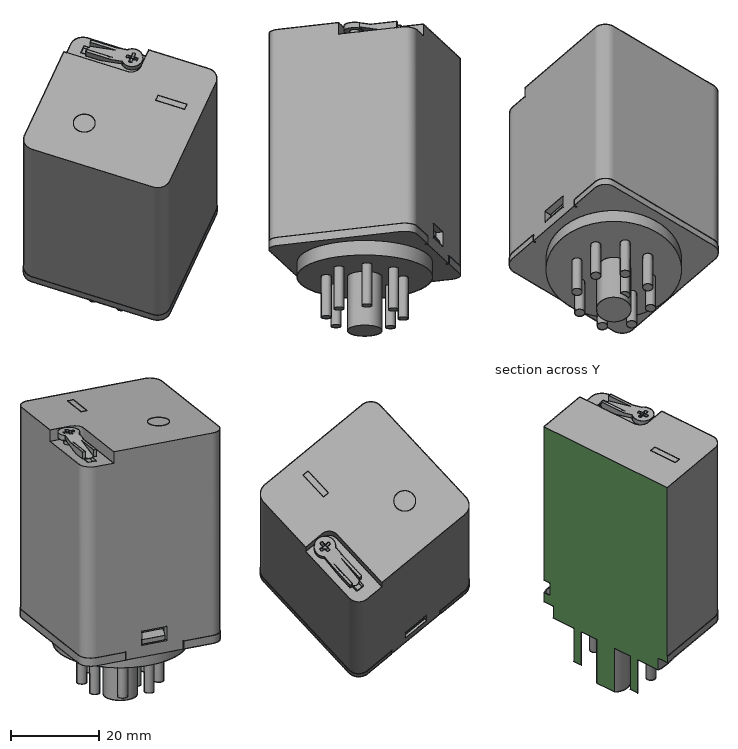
import cadquery as cq
import math


base_side = 35.5
base_height = 2.0
corner_radius = 3.1
seam_step = 0.1
overall_height = 68.3
case_top = 51.9
case_side = base_side - 2 * seam_step

tab_width = 14.8
tab_gap = 0.2
tab_thickness = 0.7

plate_diameter = 30.8
plate_height = 3.5

pin_diameter = 2.3
pin_length = 9.85
pin_count = 8
pin_circle_radius = 8.75
post_diameter = 7.85
post_length = overall_height - case_top - plate_height
key_length = 11.35
key_offset = 3.95

window_width = 6.35
window_height = 3.5
window_bottom = 2.9
window_depth = 1.7
barb_side_gap = 0.2
barb_face_height = 1.1
barb_face_depth = 0.7
barb_slope_height = 1.3

notch_right = 0.15
notch_front = 10.3
notch_depth = 2.8
notch_radius = 2.3

screw_x = -2.6
screw_y = 14.3
screw_diameter = 5.0
screw_head_height = 1.3
shank_diameter = 2.3
cross_slot_width = 0.7
cross_top_diameter = 2.7
cross_bottom_diameter = 1.0
cross_depth = 1.0

lever_right = -4.3
lever_width = 3.5
lever_length = 9.4
lever_drop = 2.4
arm_thickness = 1.0
rail_width = 0.7
rail_end_inset = 0.5
rail_top_depth = 0.7

dimple_left = -14.7
dimple_length = 2.7
dimple_depth = 0.4
dimple_floor_width = 1.4

mark_depth = 0.1
button_x = -6.2
button_y = -6.6
button_diameter = 5.0
label_x = 10.2
label_y = 5.9
label_length = 7.05
label_width = 1.5

outer = base_side / 2
notch_floor = case_top - notch_depth
plate_bottom = -plate_height
arm_width = lever_width - 2 * rail_width


def box(x_range, y_range, z_range):
    """Box between pairs of X, Y and Z limits."""
    sizes = [high - low for low, high in (x_range, y_range, z_range)]
    corner = (x_range[0], y_range[0], z_range[0])
    return cq.Workplane("XY").box(*sizes, centered=False).translate(corner)


def cylinder(x, y, bottom, height, diameter):
    """Upright cylinder standing on the level `bottom`."""
    return cq.Workplane("XY", origin=(x, y, bottom)).circle(diameter / 2).extrude(height)


def rounded_block(side, bottom, top, radius):
    """Square block centred on Z with rounded upright edges."""
    block = cq.Workplane("XY", origin=(0, 0, bottom)).rect(side, side).extrude(top - bottom)
    return block.edges("|Z").fillet(radius)


def xz_prism(points, y_centre, width):
    """Prism of an X-Z outline, centred on `y_centre` along Y."""
    plane = cq.Workplane("XZ", origin=(0, y_centre, 0))
    return plane.polyline(points).close().extrude(width / 2, both=True)


def make_body():
    """Base and case, with the case tab let into the -X side of the base."""
    base = rounded_block(base_side, 0, base_height, corner_radius)
    room_half = tab_width / 2
    tab_half = room_half - tab_gap
    tab_back = tab_thickness - outer
    base = base.cut(box((-outer, tab_back), (-room_half, room_half), (0, base_height)))
    case = rounded_block(case_side, base_height, case_top, corner_radius - seam_step)
    tab = box((-case_side / 2, tab_back), (-tab_half, tab_half), (0, base_height))
    return base.union(case).union(tab)


def make_socket_plug():
    """Round plate with the ring of pins, the centre post and its key."""
    plug = cylinder(0, 0, plate_bottom, plate_height, plate_diameter)
    for index in range(pin_count):
        angle = 2 * math.pi * (index + 0.5) / pin_count
        x = pin_circle_radius * math.cos(angle)
        y = pin_circle_radius * math.sin(angle)
        plug = plug.union(cylinder(x, y, plate_bottom - pin_length, pin_length, pin_diameter))
    plug = plug.union(cylinder(0, 0, plate_bottom - post_length, post_length, post_diameter))
    return plug.union(cylinder(0, -key_offset, plate_bottom - key_length, key_length, pin_diameter))


def make_window():
    """Latch window with a barb left standing: upright face below, slope above."""
    half = window_width / 2
    back = window_depth - outer
    window_top = window_bottom + window_height
    window = box((-outer, back), (-half, half), (window_bottom, window_top))
    face = barb_face_depth - outer
    shoulder = window_bottom + barb_face_height
    barb_outline = [
        (back, window_bottom),
        (face, window_bottom),
        (face, shoulder),
        (back, shoulder + barb_slope_height),
    ]
    return window.cut(xz_prism(barb_outline, 0, window_width - 2 * barb_side_gap))


def make_notch():
    """Open corner notch with one rounded inner corner, and the dimple in its floor."""
    notch = box((-outer, notch_right), (notch_front, outer), (notch_floor, case_top))
    notch = notch.edges("|Z and >X and <Y").fillet(notch_radius)
    dimple_outline = [
        (screw_y - arm_width / 2, notch_floor),
        (screw_y + arm_width / 2, notch_floor),
        (screw_y + dimple_floor_width / 2, notch_floor - dimple_depth),
        (screw_y - dimple_floor_width / 2, notch_floor - dimple_depth),
    ]
    side_plane = cq.Workplane("YZ", origin=(dimple_left, 0, 0))
    dimple = side_plane.polyline(dimple_outline).close().extrude(dimple_length)
    return notch.union(dimple)


def make_screw():
    """Screw on the notch floor: shank, head trimmed flat by the lever, tapered cross recess."""
    head_bottom = case_top - screw_head_height
    shank = cylinder(screw_x, screw_y, notch_floor, notch_depth, shank_diameter)
    head = cylinder(screw_x, screw_y, head_bottom, screw_head_height, screw_diameter)
    head = head.intersect(box((lever_right, outer), (0, outer), (head_bottom, case_top)))
    cone = (
        cq.Workplane("XY", origin=(screw_x, screw_y, case_top))
        .circle(cross_top_diameter / 2)
        .workplane(offset=-cross_depth)
        .circle(cross_bottom_diameter / 2)
        .loft()
    )
    slots = (
        cq.Workplane("XY", origin=(screw_x, screw_y, case_top - cross_depth))
        .rect(cross_top_diameter, cross_slot_width)
        .extrude(cross_depth)
    )
    slots = slots.union(slots.rotate((screw_x, screw_y, 0), (screw_x, screw_y, 1), 90))
    return shank.union(head).cut(cone.intersect(slots))


def make_lever():
    """Lever that slopes down from the screw head to a rounded tip between two level side rails."""
    tip = lever_right - lever_length
    bottom = case_top - lever_drop
    slope = lever_drop / lever_length
    bend = tip + arm_thickness / slope
    arm_outline = [
        (lever_right, case_top),
        (tip, bottom),
        (bend, bottom),
        (lever_right, case_top - arm_thickness),
    ]
    rail_left = tip + rail_end_inset
    rail_top = case_top - rail_top_depth
    rail_right = lever_right - rail_top_depth / slope
    rail_outline = [
        (rail_left, bottom),
        (bend, bottom),
        (rail_right, rail_top - arm_thickness),
        (rail_right, rail_top),
        (rail_left, rail_top),
    ]
    tip_radius = arm_width / 2
    tip_centre = tip + tip_radius
    plan = cylinder(tip_centre, screw_y, bottom, lever_drop, arm_width)
    narrow = (screw_y - tip_radius, screw_y + tip_radius)
    plan = plan.union(box((tip_centre, lever_right), narrow, (bottom, case_top)))
    wide = (screw_y - lever_width / 2, screw_y + lever_width / 2)
    plan = plan.union(box((rail_left, lever_right), wide, (bottom, case_top)))
    lever = xz_prism(arm_outline, screw_y, lever_width).intersect(plan)
    for side in (-1, 1):
        rail_y = screw_y + side * (lever_width - rail_width) / 2
        lever = lever.union(xz_prism(rail_outline, rail_y, rail_width))
    return lever


def make_top_marks():
    """Shallow round and rectangular recesses for the button and label in the case top."""
    floor = case_top - mark_depth
    button = cylinder(button_x, button_y, floor, mark_depth, button_diameter)
    label = (
        cq.Workplane("XY", origin=(label_x, label_y, floor))
        .rect(label_length, label_width)
        .extrude(mark_depth)
    )
    return button.union(label)


result = (
    make_body()
    .union(make_socket_plug())
    .cut(make_window())
    .cut(make_notch())
    .union(make_screw())
    .union(make_lever())
    .cut(make_top_marks())
)